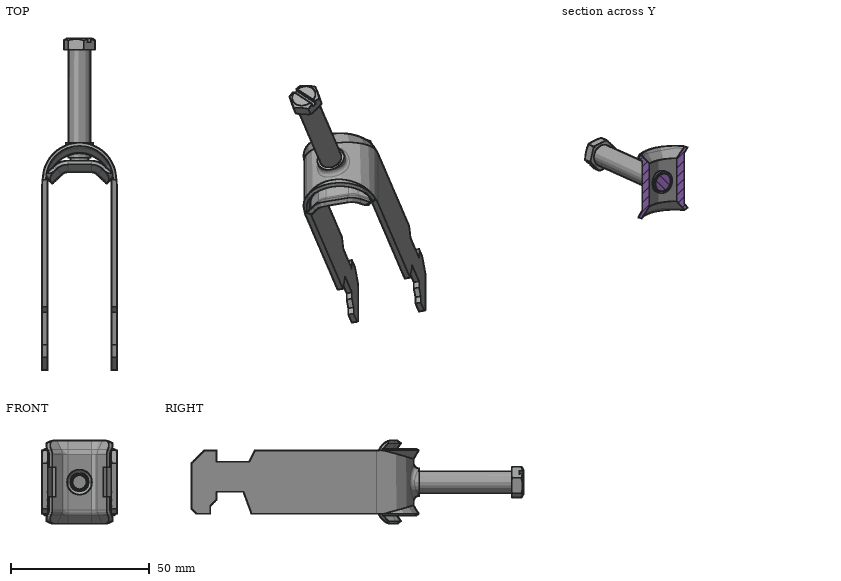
import cadquery as cq
import math


strap_span = 27.0
strap_thickness = 2.0
strap_width = 22.8
overall_length = 119.5
leg_tip_y = -66.5
arch_outer_radius = strap_span / 2
arch_inner_radius = arch_outer_radius - strap_thickness
half_width = strap_width / 2

neck_end_y = -57.4
upper_neck_start_y = -45.7
upper_neck_z = 7.4
upper_shoulder_y = -43.7
tip_chamfer = 4.6
lower_neck_start_y = -47.8
lower_neck_z = -3.5
lower_shoulder_y = -44.9
lower_step_y = -59.7
lower_step_top_z = -6.3
lower_step_bottom_z = lower_step_top_z - (neck_end_y - lower_step_y)
tip_bottom_chamfer = 1.8

lip_axis_y = 2.1
lip_radius = 13.25
lip_angle = math.radians(31)
lip_thickness = 1.35
lip_depth = 4.0

collar_diameter = 10.0
collar_face_y = 15.4
collar_fillet = 1.8

bolt_end_y = leg_tip_y + overall_length
head_height = 4.3
head_across_flats = 10.0
head_turn = 15.0
head_flat_radius = 4.3
head_top_slope = math.radians(30)
head_bottom_chamfer = 0.3
slot_width = 1.6
slot_depth = 1.6
slot_angle = 45.0
shank_diameter = 8.0
shank_end_y = 9.9
neck_diameter = 6.65
pin_diameter = 6.0
pin_tip_diameter = 5.0

saddle_height = 30.0
saddle_thickness = 1.7
saddle_front_y = 4.7
saddle_back_y = saddle_front_y + saddle_thickness
saddle_flat_half = 4.2
wing_angle = math.radians(43)
wing_bend_radius = 3.0
wing_tip_x = 9.8
flange_angle = math.radians(35)
flange_bend_start_z = 10.0
flange_bend_radius = 3.1
flange_corner_radius = 3.5
notch_height = 10.6
notch_depth = 1.6
countersink_diameter = 9.0
countersink_depth = (countersink_diameter - pin_diameter) / 2


def cylinder_along_y(diameter, y_start, y_end):
    """Cylinder on the bolt axis."""
    plane = cq.Workplane("XZ", origin=(0, y_end, 0))
    return plane.circle(diameter / 2).extrude(y_end - y_start)


def leg_outline():
    """Side outline of a leg, from the arch to the hooked tip."""
    return (
        cq.Workplane("YZ")
        .moveTo(0, half_width)
        .lineTo(upper_shoulder_y, half_width)
        .lineTo(upper_neck_start_y, upper_neck_z)
        .lineTo(neck_end_y, upper_neck_z)
        .lineTo(neck_end_y, half_width)
        .lineTo(leg_tip_y + tip_chamfer, half_width)
        .lineTo(leg_tip_y, half_width - tip_chamfer)
        .lineTo(leg_tip_y, -half_width + tip_bottom_chamfer)
        .lineTo(leg_tip_y + tip_bottom_chamfer, -half_width)
        .lineTo(lower_step_y, -half_width)
        .lineTo(lower_step_y, lower_step_bottom_z)
        .lineTo(neck_end_y, lower_step_top_z)
        .lineTo(neck_end_y, lower_neck_z)
        .lineTo(lower_neck_start_y, lower_neck_z)
        .lineTo(lower_shoulder_y, -half_width)
        .lineTo(0, -half_width)
        .close()
    )


def revolve_half_turn(points):
    """Turn a radius-height outline round the lip axis, on the arch side only."""
    outline = cq.Workplane("XZ", origin=(0, lip_axis_y, 0)).polyline(points).close()
    turned = outline.revolve(360, (0, 0, 0), (0, 1, 0))
    reach = 2 * strap_span
    arch_side = cq.Workplane("XY").box(reach, reach, reach, centered=(True, False, True))
    return turned.intersect(arch_side.translate((0, lip_axis_y, 0)))


def make_strap():
    arch = (
        cq.Workplane("XY", origin=(0, 0, -half_width))
        .moveTo(-arch_outer_radius, 0)
        .threePointArc((0, arch_outer_radius), (arch_outer_radius, 0))
        .lineTo(arch_inner_radius, 0)
        .threePointArc((0, arch_inner_radius), (-arch_inner_radius, 0))
        .close()
        .extrude(strap_width)
    )

    for outer_face_x in (-arch_outer_radius, arch_inner_radius):
        leg = leg_outline().extrude(strap_thickness).translate((outer_face_x, 0, 0))
        arch = arch.union(leg)

    lip_run = lip_depth * math.tan(lip_angle)
    outer_top = (lip_radius, half_width)
    outer_bottom = (lip_radius - lip_run, half_width - lip_depth)
    across = (-lip_thickness * math.cos(lip_angle), lip_thickness * math.sin(lip_angle))
    inner_top = (outer_top[0] + across[0], outer_top[1] + across[1])
    inner_bottom = (outer_bottom[0] + across[0], outer_bottom[1] + across[1])
    lip = revolve_half_turn([outer_bottom, outer_top, inner_top, inner_bottom])
    lip_mouth = revolve_half_turn([(0, inner_bottom[1]), inner_bottom, inner_top, (0, inner_top[1])])
    bore = cq.Workplane("XY").circle(arch_inner_radius).extrude(half_width, both=True)
    lip = lip.cut(bore)

    collar = cylinder_along_y(collar_diameter, arch_inner_radius, collar_face_y)
    strap = arch.union(collar)
    collar_base = cq.selectors.BoxSelector(
        (-collar_diameter, arch_inner_radius, -collar_diameter),
        (collar_diameter, arch_outer_radius, collar_diameter),
    )
    strap = strap.edges(collar_base).edges("%BSPLINE").fillet(collar_fillet)
    strap = strap.cut(bore).cut(cylinder_along_y(shank_diameter, 0, bolt_end_y))

    for edge_mouth, edge_lip in ((lip_mouth, lip), (lip_mouth.mirror("XY"), lip.mirror("XY"))):
        strap = strap.cut(edge_mouth).union(edge_lip)
    return strap


def make_bolt():
    corner_radius = head_across_flats / math.sqrt(3)
    head_base_y = bolt_end_y - head_height
    head = (
        cq.Workplane("XZ", origin=(0, bolt_end_y, 0))
        .polygon(6, 2 * corner_radius)
        .extrude(head_height)
        .rotate((0, 0, 0), (0, 1, 0), -head_turn)
    )
    top_drop = (corner_radius - head_flat_radius) * math.tan(head_top_slope)
    head_envelope = (
        cq.Workplane("XY")
        .moveTo(0, head_base_y)
        .lineTo(corner_radius - head_bottom_chamfer, head_base_y)
        .lineTo(corner_radius, head_base_y + head_bottom_chamfer)
        .lineTo(corner_radius, bolt_end_y - top_drop)
        .lineTo(head_flat_radius, bolt_end_y)
        .lineTo(0, bolt_end_y)
        .close()
        .revolve(360, (0, 0, 0), (0, 1, 0))
    )
    slot = (
        cq.Workplane("XY")
        .box(3 * corner_radius, 2 * slot_depth, slot_width)
        .rotate((0, 0, 0), (0, 1, 0), -slot_angle)
        .translate((0, bolt_end_y, 0))
    )
    head = head.intersect(head_envelope).cut(slot)

    pin_land = saddle_thickness - countersink_depth
    pin_chamfer = (pin_diameter - pin_tip_diameter) / 2
    pin = cylinder_along_y(pin_diameter, saddle_back_y - pin_land - pin_chamfer, shank_end_y)
    pin = pin.faces("<Y").chamfer(pin_chamfer)
    return (
        head.union(cylinder_along_y(shank_diameter, shank_end_y, head_base_y))
        .union(cylinder_along_y(neck_diameter, saddle_back_y, shank_end_y))
        .union(pin)
    )


def saddle_section():
    """Upper half of the plate's section with its flange bent back, closed at mid-height."""
    sine, cosine = math.sin(flange_angle), math.cos(flange_angle)
    half_sine, half_cosine = math.sin(flange_angle / 2), math.cos(flange_angle / 2)
    centre_y = saddle_front_y + flange_bend_radius
    back_radius = flange_bend_radius - saddle_thickness

    def on_bend(radius, sin_turn, cos_turn):
        return (centre_y - radius * cos_turn, flange_bend_start_z + radius * sin_turn)

    front_bend_end = on_bend(flange_bend_radius, sine, cosine)
    tip_z = saddle_height / 2
    tip_y = front_bend_end[0] + (tip_z - front_bend_end[1]) * math.tan(flange_angle)
    return (
        cq.Workplane("YZ")
        .moveTo(saddle_front_y, 0)
        .lineTo(saddle_front_y, flange_bend_start_z)
        .threePointArc(on_bend(flange_bend_radius, half_sine, half_cosine), front_bend_end)
        .lineTo(tip_y, tip_z)
        .lineTo(tip_y + saddle_thickness * cosine, tip_z - saddle_thickness * sine)
        .lineTo(*on_bend(back_radius, sine, cosine))
        .threePointArc(
            on_bend(back_radius, half_sine, half_cosine),
            (saddle_back_y, flange_bend_start_z),
        )
        .lineTo(saddle_back_y, 0)
        .close()
    )


def make_saddle():
    bend_centre_y = saddle_front_y - wing_bend_radius

    def on_wing_bend(turn):
        return (
            saddle_flat_half + wing_bend_radius * math.sin(turn),
            bend_centre_y + wing_bend_radius * math.cos(turn),
        )

    wing_root = on_wing_bend(wing_angle)
    wing_tip = (wing_tip_x, wing_root[1] - (wing_tip_x - wing_root[0]) * math.tan(wing_angle))
    path = (
        cq.Workplane("XY")
        .moveTo(0, saddle_front_y)
        .lineTo(saddle_flat_half, saddle_front_y)
        .threePointArc(on_wing_bend(wing_angle / 2), wing_root)
        .lineTo(*wing_tip)
    )
    quarter = saddle_section().sweep(path)

    wing_end = cq.Workplane(cq.Plane(
        origin=(wing_tip[0], wing_tip[1], 0),
        xDir=(math.cos(wing_angle), -math.sin(wing_angle), 0),
        normal=(-math.sin(wing_angle), -math.cos(wing_angle), 0),
    ))
    corner = (
        wing_end.moveTo(0, saddle_height / 2)
        .lineTo(-flange_corner_radius, saddle_height / 2)
        .radiusArc((0, saddle_height / 2 - flange_corner_radius), flange_corner_radius)
        .close()
        .extrude(saddle_height / 2, both=True)
    )
    notch = wing_end.rect(2 * notch_depth, notch_height).extrude(saddle_height / 2, both=True)
    quarter = quarter.cut(corner).cut(notch)

    half = quarter.union(quarter.mirror("XY"))
    saddle = half.union(half.mirror("YZ"))

    saddle = saddle.cut(cylinder_along_y(pin_diameter, saddle_front_y, saddle_back_y))
    countersink = (
        cq.Workplane("XY")
        .moveTo(0, saddle_front_y)
        .lineTo(countersink_diameter / 2, saddle_front_y)
        .lineTo(pin_diameter / 2, saddle_front_y + countersink_depth)
        .lineTo(0, saddle_front_y + countersink_depth)
        .close()
        .revolve(360, (0, 0, 0), (0, 1, 0))
    )
    return saddle.cut(countersink)


strap = make_strap()
bolt = make_bolt()
saddle = make_saddle()

result = cq.Compound.makeCompound([strap.solids().val(), bolt.solids().val(), saddle.solids().val()])